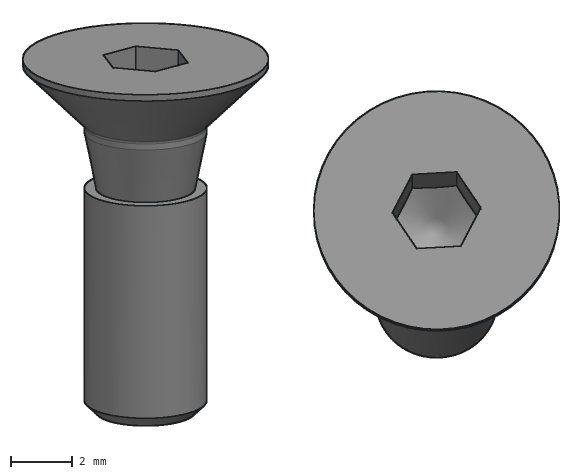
import cadquery as cq
import math

total_length = 12.0
thread_diameter = 4.0
head_diameter = 8.0
rim_height = 0.22
collar_height = 0.26
underhead_fillet = 0.15
thread_length = 7.61
root_diameter = 3.24
socket_width = 2.5
socket_depth = 1.8
socket_tip_angle = 120.0

thread_radius = thread_diameter / 2
head_radius = head_diameter / 2
root_radius = root_diameter / 2
tip_chamfer = thread_radius - root_radius

head_cone_height = head_radius - thread_radius
rim_bottom = total_length - rim_height
head_bottom = rim_bottom - head_cone_height
collar_bottom = head_bottom - collar_height

fillet_reach = underhead_fillet * math.tan(math.radians(45 / 2))
fillet_rise = fillet_reach * math.cos(math.radians(45))


def screw_body():
    """Revolve the half profile of the shank, tapered neck, collar and head."""
    profile = (
        cq.Workplane("XZ")
        .lineTo(root_radius, 0)
        .lineTo(thread_radius, tip_chamfer)
        .lineTo(thread_radius, thread_length)
        .lineTo(root_radius, thread_length)
        .lineTo(thread_radius, collar_bottom)
        .lineTo(thread_radius, head_bottom - fillet_reach)
        .tangentArcPoint((thread_radius + fillet_rise, head_bottom + fillet_rise), relative=False)
        .lineTo(head_radius, rim_bottom)
        .lineTo(head_radius, total_length)
        .lineTo(0, total_length)
        .close()
    )
    return profile.revolve(360, (0, 0, 0), (0, 1, 0))


def hex_socket():
    """Hexagonal socket with corners on the X axis and a conical floor."""
    corner_radius = socket_width / math.sqrt(3)
    tip_height = corner_radius / math.tan(math.radians(socket_tip_angle / 2))
    floor = total_length - socket_depth
    bottom = floor - tip_height
    hexagon = (
        cq.Workplane("XY", origin=(0, 0, bottom))
        .polygon(6, 2 * corner_radius)
        .extrude(total_length - bottom)
    )
    drilled_space = (
        cq.Workplane("XZ")
        .moveTo(0, bottom)
        .lineTo(corner_radius, floor)
        .lineTo(corner_radius, total_length)
        .lineTo(0, total_length)
        .close()
        .revolve(360, (0, 0, 0), (0, 1, 0))
    )
    return hexagon.intersect(drilled_space)


result = screw_body().cut(hex_socket())